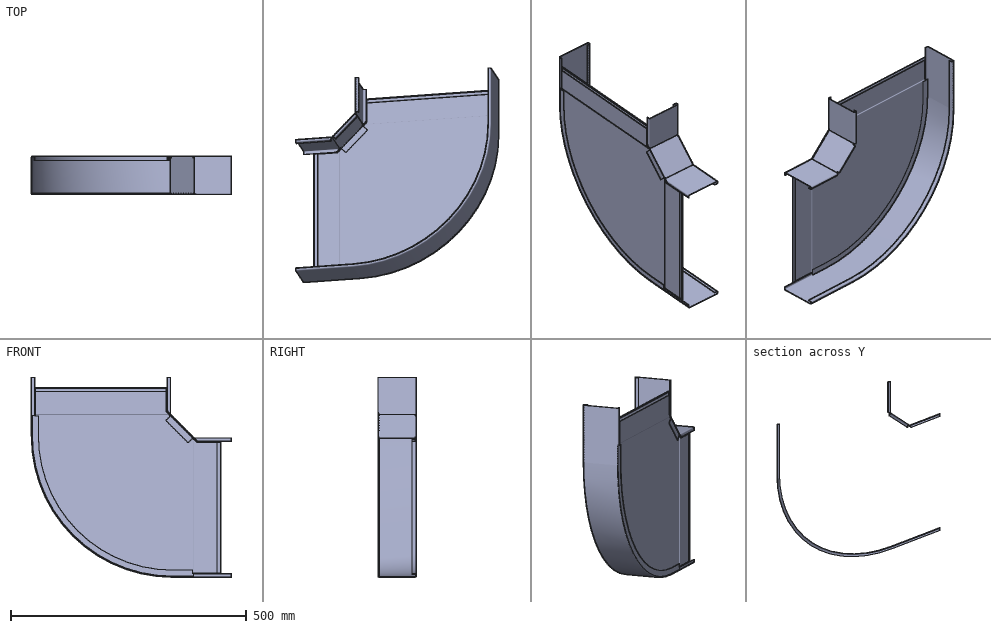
import cadquery as cq
import math


SIZE = 425.0
DEPTH = 82.0
SHEET = 1.5
FLANGE_BEND = 2.5
RIM_BEND = 4.0
RIM_RETURN = 9.5

BEND_RADIUS = 300.0
FLANGE_WIDE = 15.5
FLANGE_NARROW = 7.5

INNER_FACE = 296.2
CORNER = 346.5
DIAGONAL_FLANGE = 16.5
END_GAP = 2.0

PLATE_END = 344.2
STEP_LENGTH = 2.5
NOTCH_GAP = 1.3
CREASE = 394.5
TIP_DIP = 1.5
TIP_BEVEL = 1.3
TONGUE_END = 403.0

RIM_WIDTH = 2 * RIM_BEND
SWAP_X_AND_Z = (1, 0, -1)
DIAGONAL_SUM = INNER_FACE + CORNER
PLATE_SUM = DIAGONAL_SUM - FLANGE_BEND * math.sqrt(2)
DIAGONAL_MIDDLE = DIAGONAL_SUM / 2
DIAGONAL_LENGTH = (CORNER - INNER_FACE) * math.sqrt(2)
NOTCH_START = PLATE_END - NOTCH_GAP
TONGUE_LEFT = FLANGE_NARROW + NOTCH_GAP
TONGUE_RIGHT = INNER_FACE - FLANGE_NARROW - NOTCH_GAP


def with_mirror(body):
    """Join a shape to its copy with X and Z exchanged."""
    return body.union(body.mirror(SWAP_X_AND_Z))


def section_plane(origin, inward):
    """Plane across a rail: local x points inwards from the outer face, local y along Y."""
    normal = cq.Vector(*inward).cross(cq.Vector(0, 1, 0))
    return cq.Workplane(cq.Plane(origin=origin, xDir=inward, normal=normal))


def arc_corner(sketch, centre, radius, middle_angle, end):
    """Round corner from the current point to end, passing through middle_angle in degrees."""
    angle = math.radians(middle_angle)
    middle = (centre[0] + radius * math.cos(angle), centre[1] + radius * math.sin(angle))
    return sketch.threePointArc(middle, end)


def rail_section(plane, flange):
    """Folded sheet: flange at y = 0, web, and a rim that folds back at y = DEPTH."""
    rim_inner = RIM_BEND - SHEET
    flange_inner = FLANGE_BEND - SHEET
    rim_y = DEPTH - RIM_BEND
    return_end = DEPTH - RIM_RETURN
    flange_centre = (FLANGE_BEND, FLANGE_BEND)
    rim_centre = (RIM_BEND, rim_y)

    sketch = plane.moveTo(flange, 0).lineTo(FLANGE_BEND, 0)
    sketch = arc_corner(sketch, flange_centre, FLANGE_BEND, 225, (0, FLANGE_BEND))
    sketch = sketch.lineTo(0, rim_y)
    sketch = arc_corner(sketch, rim_centre, RIM_BEND, 135, (RIM_BEND, DEPTH))
    sketch = arc_corner(sketch, rim_centre, RIM_BEND, 45, (RIM_WIDTH, rim_y))
    sketch = sketch.lineTo(RIM_WIDTH, return_end).lineTo(RIM_WIDTH - SHEET, return_end)
    sketch = sketch.lineTo(RIM_WIDTH - SHEET, rim_y)
    sketch = arc_corner(sketch, rim_centre, rim_inner, 45, (RIM_BEND, DEPTH - SHEET))
    sketch = arc_corner(sketch, rim_centre, rim_inner, 135, (SHEET, rim_y))
    sketch = sketch.lineTo(SHEET, FLANGE_BEND)
    sketch = arc_corner(sketch, flange_centre, flange_inner, 225, (FLANGE_BEND, SHEET))
    return sketch.lineTo(flange, SHEET).close()


def xz_plane(y):
    """Plane at height y with local x along X and local y along Z; it extrudes towards -Y."""
    return cq.Workplane("XZ", origin=(0, y, 0))


def make_plate():
    """Flat sheet that rests on the rail flanges."""
    edge = FLANGE_BEND
    middle = BEND_RADIUS - (BEND_RADIUS - edge) * math.sqrt(0.5)
    return (
        xz_plane(SHEET)
        .moveTo(edge, PLATE_END)
        .lineTo(edge, BEND_RADIUS)
        .threePointArc((middle, middle), (BEND_RADIUS, edge))
        .lineTo(PLATE_END, edge)
        .lineTo(PLATE_END, PLATE_SUM - PLATE_END)
        .lineTo(PLATE_SUM - PLATE_END, PLATE_END)
        .close()
        .extrude(-SHEET)
    )


def make_tongue():
    """Tongue one sheet lower than the plate, with a grooved tip and a flare at the diagonal."""
    step_middle = (SHEET / 2, PLATE_END + STEP_LENGTH / 2)
    half_chord = math.hypot(SHEET, STEP_LENGTH) / 4
    step_sagitta = half_chord * math.tan(math.atan2(SHEET, STEP_LENGTH) / 2)
    plate_edge = INNER_FACE - FLANGE_BEND
    backing = TIP_DIP + 2 * SHEET
    block = (
        cq.Workplane("YZ", origin=(TONGUE_LEFT, 0, 0))
        .moveTo(backing, PLATE_END)
        .lineTo(SHEET, PLATE_END)
        .sagittaArc(step_middle, -step_sagitta)
        .sagittaArc((0, PLATE_END + STEP_LENGTH), step_sagitta)
        .lineTo(0, CREASE)
        .sagittaArc((0, TONGUE_END - TIP_BEVEL), -TIP_DIP)
        .lineTo(SHEET, TONGUE_END)
        .lineTo(backing, TONGUE_END)
        .close()
        .extrude(plate_edge - TONGUE_LEFT)
    )
    sheet = block.cut(block.translate((0, SHEET, 0)))
    side_cut = (
        xz_plane(0)
        .polyline([
            (TONGUE_RIGHT, SIZE), (TONGUE_RIGHT, PLATE_SUM - TONGUE_RIGHT),
            (INNER_FACE, PLATE_SUM - INNER_FACE), (INNER_FACE, SIZE),
        ])
        .close()
        .extrude(-backing)
    )
    return sheet.cut(side_cut)


def make_base():
    return make_plate().union(with_mirror(make_tongue()))


def make_outer_rail():
    inward = (1, 0, 0)
    end = rail_section(section_plane((0, 0, NOTCH_START), inward), FLANGE_NARROW)
    end = end.extrude(SIZE - NOTCH_START)
    run = rail_section(section_plane((0, 0, BEND_RADIUS), inward), FLANGE_WIDE)
    run = run.extrude(NOTCH_START - BEND_RADIUS)
    curve = rail_section(section_plane((0, 0, BEND_RADIUS), inward), FLANGE_WIDE)
    curve = curve.revolve(90, (BEND_RADIUS, 0, 0), (BEND_RADIUS, -1, 0))
    return curve.union(with_mirror(end.union(run)))


def make_inner_web():
    """Upright strip along both straight walls and the diagonal between them."""
    mitre_angle = math.radians(22.5)
    shift = SHEET * math.tan(mitre_angle)
    back = INNER_FACE - SHEET
    return (
        xz_plane(FLANGE_BEND)
        .polyline([
            (INNER_FACE, SIZE), (INNER_FACE, CORNER), (CORNER, INNER_FACE), (SIZE, INNER_FACE),
            (SIZE, back), (CORNER - shift, back), (back, CORNER - shift), (back, SIZE),
        ])
        .close()
        .extrude(-(DEPTH - RIM_BEND - FLANGE_BEND))
    )


def corner_cutter(diagonal_sum, y_start, y_end):
    """Prism that trims a straight wall to x + z >= diagonal_sum between two heights."""
    return (
        xz_plane(y_start)
        .polyline([(diagonal_sum - CORNER, CORNER), (0, diagonal_sum), (0, CORNER)])
        .close()
        .extrude(y_start - y_end)
    )


def make_straight_wall():
    """Straight rail: the flange ends on the diagonal face, the rim slightly behind it."""
    wall = rail_section(section_plane((INNER_FACE, 0, SIZE), (-1, 0, 0)), FLANGE_NARROW)
    wall = wall.extrude(SIZE - CORNER)
    wall = wall.cut(corner_cutter(DIAGONAL_SUM, 0, FLANGE_BEND))
    return wall.cut(corner_cutter(PLATE_SUM, DEPTH - RIM_RETURN, DEPTH))


def make_diagonal_wall():
    plane = section_plane((DIAGONAL_MIDDLE, 0, DIAGONAL_MIDDLE), (-1, 0, -1))
    return rail_section(plane, DIAGONAL_FLANGE).extrude(DIAGONAL_LENGTH / 2 - END_GAP, both=True)


def make_inner_rail():
    return make_inner_web().union(with_mirror(make_straight_wall())).union(make_diagonal_wall())


base = make_base()
outer_rail = make_outer_rail()
inner_rail = make_inner_rail()

result = cq.Compound.makeCompound([base.val(), outer_rail.val(), inner_rail.val()])